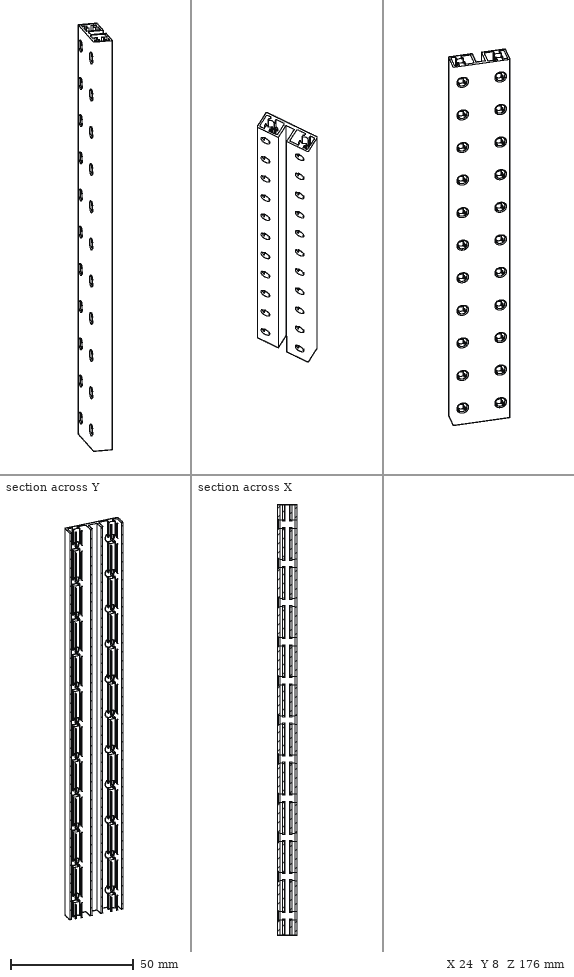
import cadquery as cq

length = 176.0
hole_count = 11
hole_pitch = length / hole_count
width = 1.5 * hole_pitch
height = 0.5 * hole_pitch
corner_radius = 0.5

side_wall = 0.8
front_wall = 1.0
back_wall = 0.9
web = 0.97
channel_width = 3.9
channel_floor = 1.5
chamber_corner = 0.5

boss_neck_width = 2.3
boss_head_width = 3.2
boss_gap = 1.8
boss_head_depth = 1.15
bore_diameter = 3.2

hole_diameter = 4.0
countersink_diameter = 5.0

hole_x = hole_pitch / 2
front_face = -height / 2
back_face = height / 2


def bar(x_min, x_max, y_min, y_max):
    """Full-length rectangular bar between the given limits."""
    corner = cq.Workplane("XY", origin=(x_min, y_min, 0))
    return corner.box(x_max - x_min, y_max - y_min, length, centered=False)


def chamber():
    """Hollow on the +X side, rounded in all four corners."""
    hollow = bar(
        channel_width / 2 + web,
        width / 2 - side_wall,
        front_face + front_wall,
        back_face - back_wall,
    )
    return hollow.edges("|Z").fillet(chamber_corner)


def boss_half():
    """Back half of the screw boss: a neck on the wall and a wider head hollowed by the bore."""
    neck = bar(
        hole_x - boss_neck_width / 2,
        hole_x + boss_neck_width / 2,
        boss_gap / 2,
        back_face - back_wall / 2,
    )
    head = bar(
        hole_x - boss_head_width / 2,
        hole_x + boss_head_width / 2,
        boss_gap / 2,
        boss_gap / 2 + boss_head_depth,
    )
    bore = cq.Workplane("XY").center(hole_x, 0).circle(bore_diameter / 2).extrude(length)
    return neck.union(head).cut(bore)


def cross_holes():
    """Two rows of through holes with 90 degree countersinks on the front face."""
    points = [
        (side * hole_x, (row + 0.5) * hole_pitch)
        for side in (-1, 1)
        for row in range(hole_count)
    ]
    sink_depth = (countersink_diameter - hole_diameter) / 2
    face = cq.Workplane("XZ", origin=(0, front_face, 0)).pushPoints(points)
    drills = face.circle(hole_diameter / 2).extrude(-height)
    sinks = face.circle(countersink_diameter / 2).extrude(-sink_depth, taper=45)
    return drills.union(sinks)


body = bar(-width / 2, width / 2, front_face, back_face).edges("|Z").fillet(corner_radius)
body = body.cut(bar(-channel_width / 2, channel_width / 2, front_face + channel_floor, back_face))

right_chamber = chamber()
back_boss = boss_half()
right_hollow = right_chamber.cut(back_boss).cut(back_boss.mirror("XZ"))
body = body.cut(right_hollow).cut(right_hollow.mirror("YZ"))

result = body.cut(cross_holes())